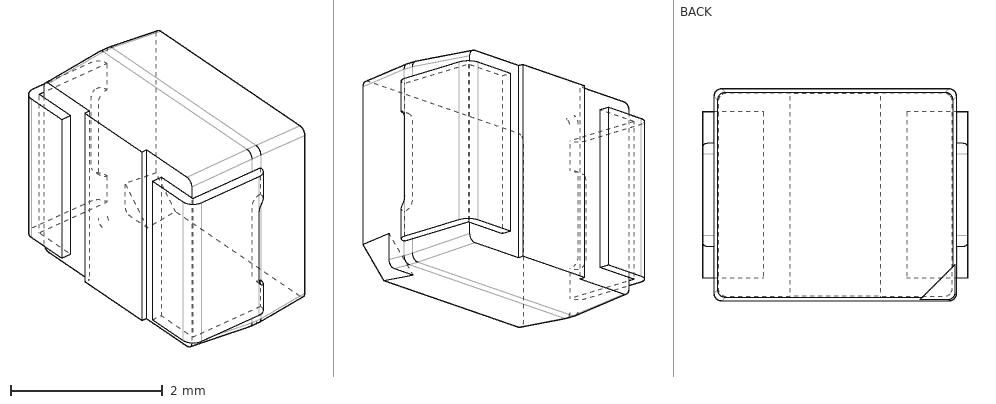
import cadquery as cq
import math

overall_width = 3.5
overall_depth = 2.1
housing_height = 2.8

metal_thickness = 0.15
terminal_height = 2.198
terminal_depth = 1.305
foot_length = 0.805
foot_bend_radius = 0.175
top_bend_radius = 0.147
notch_height = 1.365
notch_depth = 0.147
notch_corner_radius = 0.145

housing_width = overall_width - 2 * metal_thickness
back_depth = 0.79
band_depth = 0.15
front_depth = 0.975
draft_angle = 3.5
corner_radius = 0.1
pad_width = 1.19
pad_thickness = 0.077
mark_chamfer = 0.5
mark_depth = 0.5

back_y = overall_depth / 2
mount_y = -overall_depth / 2
band_back_y = back_y - back_depth
band_front_y = band_back_y - band_depth
terminal_back_y = mount_y + terminal_depth
pad_front_y = band_front_y - front_depth - pad_thickness


def drafted_shell(start_y, depth, direction):
    """Rectangle that tapers along Y in the given direction, with round long edges."""
    plane = cq.Plane(origin=(0, start_y, 0), xDir=(1, 0, 0), normal=(0, direction, 0))
    shell = cq.Workplane(plane).rect(housing_width, housing_height)
    shell = shell.extrude(depth, taper=draft_angle)
    return shell.edges("not(|X or |Z)").fillet(corner_radius)


def make_band():
    band = cq.Workplane("XY").box(housing_width, band_depth, housing_height)
    band = band.edges("|Y").fillet(corner_radius)
    return band.translate((0, (band_back_y + band_front_y) / 2, 0))


def cut_pad_reliefs(housing):
    """Lower the mounting face on both sides of the central pad."""
    relief_width = (housing_width - pad_width) / 2
    relief = cq.Workplane("XY").box(relief_width, pad_thickness, housing_height)
    for side in (-1, 1):
        centre_x = side * (pad_width + relief_width) / 2
        housing = housing.cut(relief.translate((centre_x, pad_front_y + pad_thickness / 2, 0)))
    return housing


def cut_polarity_mark(housing):
    """Bevel the back part of the lower -X edge."""
    corner_x = -housing_width / 2
    corner_z = -housing_height / 2
    bevel_points = [
        (corner_x, corner_z),
        (corner_x + mark_chamfer, corner_z),
        (corner_x, corner_z + mark_chamfer),
    ]
    bevel = cq.Workplane("XZ", origin=(0, back_y, 0)).polyline(bevel_points).close().extrude(mark_depth)
    return housing.cut(bevel)


def make_housing():
    housing = make_band()
    housing = housing.union(drafted_shell(band_back_y, back_depth, 1))
    housing = housing.union(drafted_shell(band_front_y, front_depth + pad_thickness, -1))
    housing = cut_pad_reliefs(housing)
    return cut_polarity_mark(housing)


def make_terminal(side):
    """L-shaped strip: a leg against the housing end and a foot below it."""
    outer_x = side * overall_width / 2
    inner_x = side * housing_width / 2
    foot_end_x = outer_x - side * foot_length
    foot_inner_y = mount_y + metal_thickness
    diagonal = math.sqrt(0.5)

    top_centre_x = outer_x - side * top_bend_radius
    top_centre_y = terminal_back_y - top_bend_radius
    top_middle = (
        top_centre_x + side * top_bend_radius * diagonal,
        top_centre_y + top_bend_radius * diagonal,
    )
    foot_centre_x = outer_x - side * foot_bend_radius
    foot_centre_y = mount_y + foot_bend_radius
    foot_middle = (
        foot_centre_x + side * foot_bend_radius * diagonal,
        foot_centre_y - foot_bend_radius * diagonal,
    )
    terminal = (
        cq.Workplane("XY")
        .moveTo(inner_x, terminal_back_y)
        .lineTo(top_centre_x, terminal_back_y)
        .threePointArc(top_middle, (outer_x, top_centre_y))
        .lineTo(outer_x, foot_centre_y)
        .threePointArc(foot_middle, (foot_centre_x, mount_y))
        .lineTo(foot_end_x, mount_y)
        .lineTo(foot_end_x, foot_inner_y)
        .lineTo(inner_x, foot_inner_y)
        .close()
        .extrude(terminal_height / 2, both=True)
    )

    notch = cq.Workplane("XY").box(metal_thickness, 2 * notch_depth, notch_height)
    notch = notch.edges("|X").fillet(notch_corner_radius)
    return terminal.cut(notch.translate(((outer_x + inner_x) / 2, terminal_back_y, 0)))


housing = make_housing()
terminals = [make_terminal(side) for side in (-1, 1)]

result = cq.Compound.makeCompound([housing.val(), *[terminal.val() for terminal in terminals]])